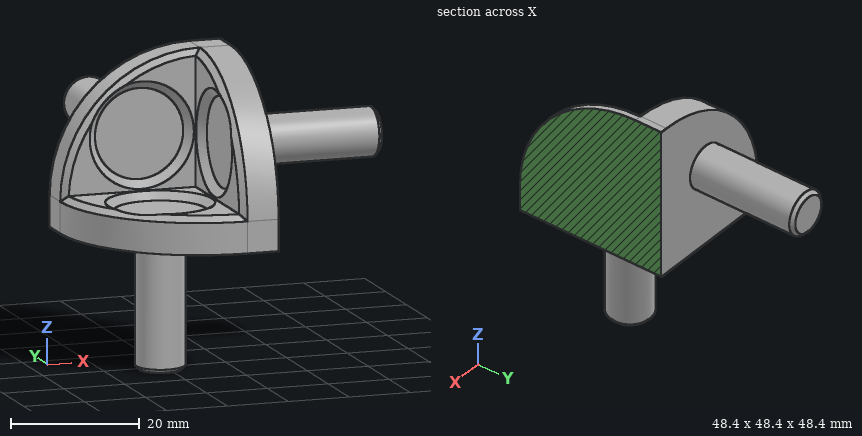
import cadquery as cq

overall_length = 48.35
plate_side = 28.05
rim_height = 5.13
edge_chamfer = 1.0
pin_offset = 15.0
pin_radius = 3.95
pin_chamfer = 0.7
pocket_floor_radius = 7.25
pocket_depth = 1.3

plate_thickness = rim_height + edge_chamfer
arc_radius = plate_side - rim_height
arc_mid = rim_height + arc_radius * 0.5 ** 0.5
pin_length = overall_length - plate_side
pocket_mouth_radius = pocket_floor_radius + pocket_depth


def make_plate():
    """Flat plate with a quarter-round rim, its outer corner at the origin."""
    return (
        cq.Workplane("XY")
        .lineTo(plate_side, 0)
        .lineTo(plate_side, rim_height)
        .threePointArc((arc_mid, arc_mid), (rim_height, plate_side))
        .lineTo(0, plate_side)
        .close()
        .extrude(plate_thickness)
        .faces(">Z")
        .chamfer(edge_chamfer)
    )


def make_pin():
    """Round pin standing out below the plate, chamfered at its free end."""
    return (
        cq.Workplane("XY")
        .center(pin_offset, pin_offset)
        .circle(pin_radius)
        .extrude(-pin_length)
        .faces("<Z")
        .chamfer(pin_chamfer)
    )


def make_pocket():
    """Conical cutter for the shallow dish in the inner face of the plate."""
    cone = cq.Solid.makeCone(
        pocket_floor_radius,
        pocket_mouth_radius,
        pocket_depth,
        pnt=cq.Vector(pin_offset, pin_offset, plate_thickness - pocket_depth),
    )
    return cq.Workplane(obj=cone)


def repeat_on_three_plates(shape):
    """Copy a shape onto the three mutually square plates, around the corner diagonal."""
    copies = shape
    for turn in (120, 240):
        copies = copies.union(shape.rotate((0, 0, 0), (1, 1, 1), turn))
    return copies


body = repeat_on_three_plates(make_plate().union(make_pin()))
body = body.cut(repeat_on_three_plates(make_pocket()))

result = body.rotate((0, 0, 0), (0, 0, 1), 180)